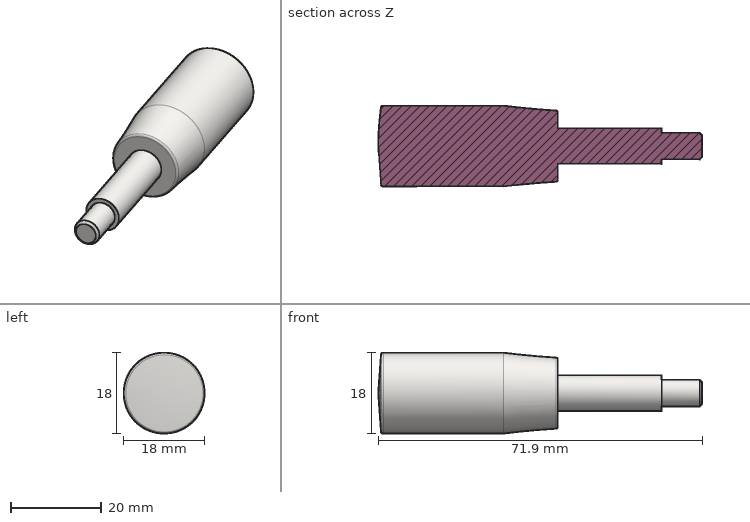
import cadquery as cq
import math


grip_length = 39.92
taper_start = 27.8
spindle_projection = 32.0
spigot_length = 9.0

grip_radius = 9.0
grip_end_radius = 7.9
spindle_radius = 4.0
spigot_radius = 3.0

dome_radius = 60.0
taper_bow = 0.10
rim_fillet = 0.5
spigot_chamfer = 0.6

shoulder_x = grip_length + spindle_projection - spigot_length


def dome_x(radius):
    """X of the domed face at a given distance from the axis."""
    return dome_radius - math.sqrt(dome_radius**2 - radius**2)


def make_grip():
    """Domed cylinder with a slightly hollow taper and rounded rims."""
    mid_radius = grip_radius / 2
    taper_mid_x = (taper_start + grip_length) / 2
    taper_mid_radius = (grip_radius + grip_end_radius) / 2 - taper_bow
    grip = (
        cq.Workplane("XY")
        .moveTo(0, 0)
        .threePointArc((dome_x(mid_radius), mid_radius), (dome_x(grip_radius), grip_radius))
        .lineTo(taper_start, grip_radius)
        .threePointArc((taper_mid_x, taper_mid_radius), (grip_length, grip_end_radius))
        .lineTo(grip_length, 0)
        .close()
        .revolve(360, (0, 0, 0), (1, 0, 0))
    )
    dome_rim = cq.NearestToPointSelector((dome_x(grip_radius), 0, 0))
    end_rim = cq.NearestToPointSelector((grip_length, 0, 0))
    return grip.edges("%CIRCLE").edges(dome_rim + end_rim).fillet(rim_fillet)


def make_spindle():
    """Spindle and its chamfered spigot, standing on the flat end of the grip."""
    spindle = cq.Workplane("YZ", origin=(grip_length, 0, 0)).circle(spindle_radius)
    spindle = spindle.extrude(shoulder_x - grip_length)
    spigot = cq.Workplane("YZ", origin=(shoulder_x, 0, 0)).circle(spigot_radius).extrude(spigot_length)
    spigot = spigot.faces(">X").edges().chamfer(spigot_chamfer)
    return spindle.union(spigot)


result = make_grip().union(make_spindle())